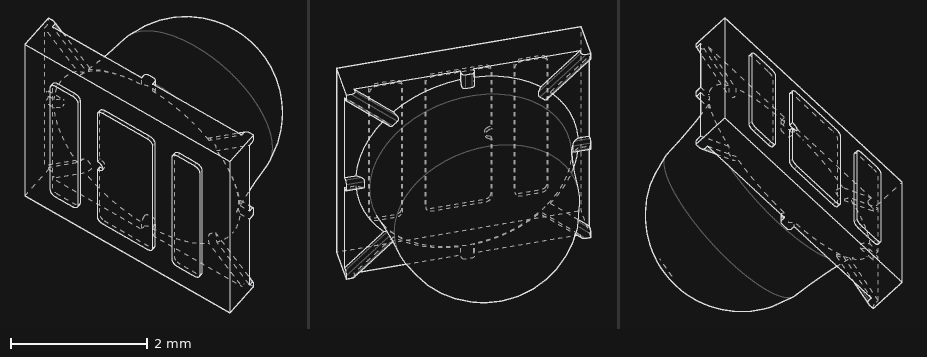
import cadquery as cq
import math

side = 3.7
floor_height = 0.5
rib_height = 0.1
rib_width = 0.2
rib_edge_radius = 0.048
rib_count = 8

pad_thickness = 0.06
pad_length = 2.7
center_pad_width = 1.0
side_pad_width = 0.5
side_pad_offset = 1.1
pad_corner_radius = 0.1
notch_radius = 0.1

total_depth = 2.96
apex_height = total_depth - pad_thickness
dome_base_height = 1.702
dome_base_radius = 1.402
dome_radius = 1.42
skirt_base_height = 0.72
skirt_base_radius = 1.528
skirt_mid_radius = 1.45
foot_radius = 1.685
foot_mid_height = 0.61
foot_mid_radius = 1.57


def make_plate():
    return cq.Workplane("XY").box(side, floor_height, side, centered=(True, False, True))


def make_lens():
    dome_center = apex_height - dome_radius
    mid_angle = math.asin(dome_base_radius / dome_radius) / 2
    dome_mid = (dome_radius * math.sin(mid_angle), dome_center + dome_radius * math.cos(mid_angle))
    skirt_mid = (skirt_mid_radius, (dome_base_height + skirt_base_height) / 2)
    return (
        cq.Workplane("XY")
        .lineTo(0, apex_height)
        .threePointArc(dome_mid, (dome_base_radius, dome_base_height))
        .threePointArc(skirt_mid, (skirt_base_radius, skirt_base_height))
        .threePointArc((foot_mid_radius, foot_mid_height), (foot_radius, floor_height))
        .lineTo(foot_radius, 0)
        .lineTo(0, 0)
        .close()
        .revolve(360, (0, 0, 0), (0, 1, 0))
    )


def make_ribs():
    """Ribs radiating from the lens axis, trimmed flush with the plate sides."""
    reach = side
    root_height = floor_height / 2
    rib_top = floor_height + rib_height
    rib = (
        cq.Workplane("XY")
        .box(reach, rib_top - root_height, rib_width, centered=(False, False, True))
        .edges(">Y and |X")
        .fillet(rib_edge_radius)
        .translate((0, root_height, 0))
    )
    envelope = cq.Workplane("XY").box(side, rib_top, side, centered=(True, False, True))
    ribs = []
    for index in range(rib_count):
        turned = rib.rotate((0, 0, 0), (0, 1, 0), index * 360 / rib_count)
        ribs.append(turned.intersect(envelope))
    return ribs


def make_pad(width, offset):
    return (
        cq.Workplane("XZ")
        .center(offset, 0)
        .rect(width, pad_length)
        .extrude(pad_thickness)
        .edges("|Y")
        .fillet(pad_corner_radius)
    )


def make_center_pad():
    notch = cq.Workplane("XZ").center(-center_pad_width / 2, 0).circle(notch_radius).extrude(pad_thickness)
    return make_pad(center_pad_width, 0).cut(notch)


result = make_plate().union(make_lens())
for rib in make_ribs():
    result = result.union(rib)
result = result.union(make_center_pad())
for direction in (-1, 1):
    result = result.union(make_pad(side_pad_width, direction * side_pad_offset))